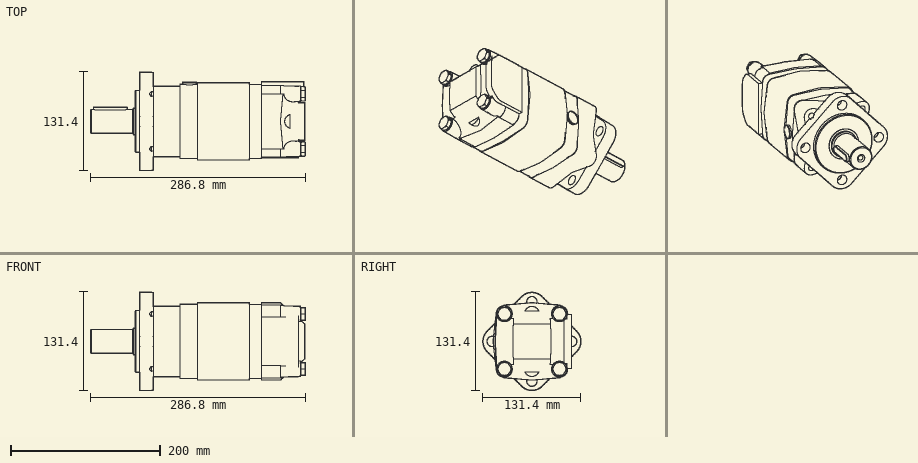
import cadquery as cq
import math

COLLAR_START = 56.2
PILOT_FACE = 59.7
FLANGE_FACE = 65.7
FLANGE_BACK = 84.0
NECK_END = 119.3
HOUSING_END = 142.5
GEAR_END = 212.0
PLATE_END = 228.0
SHOULDER_END = 253.5
SIDE_WALL_END = 277.5
BOSS_END = 280.2
COVER_END = 286.2
TOTAL_LENGTH = 286.8

BOLT_OFFSET = 36.7
SHANK_DIAMETER = 8.3
DRILL_TIP_LENGTH = 2.5
HEAD_FLATS = 17.0
HEAD_CHAMFER = 1.0
WASHER_FACE = 1.0
BOLT_CENTRES = [(sy * BOLT_OFFSET, sz * BOLT_OFFSET) for sy in (-1, 1) for sz in (-1, 1)]

SHAFT_DIAMETER = 32.0
SHAFT_CHAMFER = 1.1
COLLAR_DIAMETER = 35.8
COLLAR_TAPER = 1.5
CENTRE_MOUTH_DIAMETER = 10.5
CENTRE_DIAMETER = 6.5
CENTRE_DEPTH = 17.2
KEY_START = 4.0
KEY_LENGTH = 45.3
KEY_WIDTH = 10.0
KEY_BOTTOM = 11.8
KEY_TOP = 19.5
KEY_CHAMFER = 0.5

FLANGE_REACH = 65.7
FLANGE_CORNER_RADIUS = 19.5
FLANGE_HOLE_DIAMETER = 13.5
FLANGE_HOLE_OFFSET = 53.0
FLANGE_RIM_LENGTH = 3.0
FLANGE_RIM_DEPTH = 0.5
PILOT_DIAMETER = 83.0
PILOT_CHAMFER = 1.1
SEAL_DIAMETER = 42.5
SEAL_DEPTH = 1.0

CORNER_RADIUS = 21.0 / 2
GEAR_CORNER_RADIUS = 22.0 / 2
NECK_SLOPE = -10.0
NECK_RIDGE = 3.0
HOUSING_CORNER_RADIUS = 9.8
HOUSING_SLOPE = 4.9
GEAR_SLOPE = 6.5
PLATE_SLOPE = 3.8
RIDGE = 4.5

PORT_DIAMETER = 18.5
PORT_X = 132.2
PORT_FACE = 52.5
PORT_NECK_DIAMETER = 18.0
PORT_RIM_LENGTH = 1.1
PORT_BASE = 43.0

COVER_TOP = 51.5
COVER_TOP_EDGE = 48.8
COVER_SIDE = 48.8
COVER_SIDE_EDGE = 32.5
BEVEL_Y = 43.5
BEVEL_Z = 45.3
BOSS_RADIUS_FRONT = 22.0 / 2
BOSS_RADIUS_REAR = 10.3
COVER_SIDE_EDGE_Y = BOLT_OFFSET + math.sqrt(BOSS_RADIUS_FRONT**2 - (BOLT_OFFSET - COVER_SIDE_EDGE) ** 2)
CORNER_MID_ANGLE = 15.0
REAR_SLOPE = 41.0
HUB_HALF_WIDTH = 25.5
HUB_EDGE_HALF_WIDTH = 24.0
HUB_FLAT_HALF_HEIGHT = 9.5
VALVE_RADIUS = 10.0
VALVE_OFFSET = 36.7
VALVE_END = 266.2

PAD_FACE = 53.0
PAD_BASE = 43.0
PAD_HALF_HEIGHT = 36.0
PAD_STRAIGHT_END = 266.2
PAD_CORNER_RADIUS = 12.0
PAD_SLANT_END = 280.2
PAD_END = 284.8

X_AXIS = cq.Vector(1, 0, 0)


def plane_at(x):
    """Workplane at station x whose local axes are Y and Z and whose normal is +X."""
    return cq.Workplane("YZ", origin=(x, 0, 0))


def disc(x_start, x_end, diameter):
    return plane_at(x_start).circle(diameter / 2).extrude(x_end - x_start)


def bolt_holes(x_start, x_end):
    return plane_at(x_start).pushPoints(BOLT_CENTRES).circle(SHANK_DIAMETER / 2).extrude(x_end - x_start)


def turned(y, z, angle):
    """Point (y, z) turned by angle degrees about the motor axis."""
    a = math.radians(angle)
    return (y * math.cos(a) - z * math.sin(a), y * math.sin(a) + z * math.cos(a))


def square_section(x_start, x_end, radius, slope, ridge):
    """Square prism with round corners about the bolt axes.

    Each side slopes from the corners to its middle: outwards for a positive
    slope, inwards for a negative one. A non-zero ridge rounds the middle.
    """
    a = math.radians(slope)
    corner_y = BOLT_OFFSET + radius * math.sin(a)
    corner_z = BOLT_OFFSET + radius * math.cos(a)
    middle_z = corner_z + corner_y * math.tan(a)
    ridge_z = middle_z - ridge * math.tan(a)
    ridge_top = ridge_z + ridge * math.tan(a / 2)
    corner_mid = BOLT_OFFSET + radius / math.sqrt(2)

    outline = plane_at(x_start).moveTo(corner_y, corner_z)
    for angle in (0, 90, 180, 270):
        if ridge:
            outline = outline.lineTo(*turned(ridge, ridge_z, angle))
            outline = outline.threePointArc(turned(0, ridge_top, angle), turned(-ridge, ridge_z, angle))
        else:
            outline = outline.lineTo(*turned(0, middle_z, angle))
        outline = outline.lineTo(*turned(-corner_y, corner_z, angle))
        outline = outline.threePointArc(
            turned(-corner_mid, corner_mid, angle), turned(-corner_z, corner_y, angle)
        )
    return outline.close().extrude(x_end - x_start)


def make_shaft():
    radius = SHAFT_DIAMETER / 2
    collar_radius = COLLAR_DIAMETER / 2
    mouth = CENTRE_MOUTH_DIAMETER / 2
    drill = CENTRE_DIAMETER / 2
    profile = (
        cq.Workplane("XY")
        .moveTo(CENTRE_DEPTH + drill, 0)
        .lineTo(CENTRE_DEPTH, drill)
        .lineTo(mouth - drill, drill)
        .lineTo(0, mouth)
        .lineTo(0, radius - SHAFT_CHAMFER)
        .lineTo(SHAFT_CHAMFER, radius)
        .lineTo(COLLAR_START, radius)
        .lineTo(COLLAR_START + COLLAR_TAPER, collar_radius)
        .lineTo(FLANGE_BACK, collar_radius)
        .lineTo(FLANGE_BACK, 0)
        .close()
    )
    shaft = profile.revolve(360, (0, 0, 0), (1, 0, 0))
    return shaft.cut(key_blank())


def key_blank():
    """Round-ended key shape, standing on its seat in the +Y side of the shaft."""
    return (
        cq.Workplane("XZ", origin=(KEY_START + KEY_LENGTH / 2, KEY_TOP, 0))
        .slot2D(KEY_LENGTH, KEY_WIDTH)
        .extrude(KEY_TOP - KEY_BOTTOM)
    )


def make_key():
    return key_blank().faces(">Y").chamfer(KEY_CHAMFER)


def flange_plate():
    """Diamond plate: a turned square with a round corner on each of the Y and Z axes."""
    corner_centre = FLANGE_REACH - FLANGE_CORNER_RADIUS
    tangent = FLANGE_CORNER_RADIUS / math.sqrt(2)
    outline = plane_at(FLANGE_FACE).moveTo(tangent, corner_centre + tangent)
    for angle in (0, 90, 180, 270):
        outline = outline.threePointArc(
            turned(0, FLANGE_REACH, angle), turned(-tangent, corner_centre + tangent, angle)
        )
        outline = outline.lineTo(*turned(-corner_centre - tangent, tangent, angle))
    plate = outline.close().extrude(FLANGE_BACK - FLANGE_FACE)
    return plate.faces(">X").chamfer(FLANGE_RIM_LENGTH, FLANGE_RIM_DEPTH)


def blind_bolt_ends():
    """Ends of the bolt holes, with conical tips, in the rim of the flange back."""
    rim_start = FLANGE_BACK - FLANGE_RIM_LENGTH
    ends = bolt_holes(rim_start, FLANGE_BACK)
    for y, z in BOLT_CENTRES:
        tip = cq.Vector(rim_start - DRILL_TIP_LENGTH, y, z)
        cone = cq.Solid.makeCone(0, SHANK_DIAMETER / 2, DRILL_TIP_LENGTH, tip, X_AXIS)
        ends = ends.union(cq.Workplane(cone))
    return ends


def side_port():
    """Low round port on the +Y side, with a slightly wider rim."""
    face = cq.Workplane("XZ", origin=(PORT_X, PORT_FACE, 0))
    rim = face.circle(PORT_DIAMETER / 2).extrude(PORT_RIM_LENGTH)
    neck = face.circle(PORT_NECK_DIAMETER / 2).extrude(PORT_FACE - PORT_BASE)
    return rim.union(neck)


def make_housing():
    pilot = disc(PILOT_FACE, FLANGE_FACE, PILOT_DIAMETER).faces("<X").chamfer(PILOT_CHAMFER)
    neck = square_section(FLANGE_BACK, NECK_END, CORNER_RADIUS, NECK_SLOPE, NECK_RIDGE)
    rear = square_section(NECK_END, HOUSING_END, HOUSING_CORNER_RADIUS, HOUSING_SLOPE, 0)
    housing = flange_plate().union(pilot).union(neck).union(rear).union(side_port())

    offset = FLANGE_HOLE_OFFSET
    mounting_holes = (
        plane_at(FLANGE_FACE)
        .pushPoints([(offset, 0), (-offset, 0), (0, offset), (0, -offset)])
        .circle(FLANGE_HOLE_DIAMETER / 2)
        .extrude(FLANGE_BACK - FLANGE_FACE)
    )
    housing = housing.cut(mounting_holes)
    housing = housing.cut(disc(PILOT_FACE, PILOT_FACE + SEAL_DEPTH, SEAL_DIAMETER))
    housing = housing.cut(disc(PILOT_FACE, FLANGE_BACK, COLLAR_DIAMETER))
    housing = housing.cut(bolt_holes(FLANGE_BACK, HOUSING_END))
    return housing.cut(blind_bolt_ends())


def make_gear_ring():
    ring = square_section(HOUSING_END, GEAR_END, GEAR_CORNER_RADIUS, GEAR_SLOPE, RIDGE)
    return ring.cut(bolt_holes(HOUSING_END, GEAR_END))


def make_channel_plate():
    plate = square_section(GEAR_END, PLATE_END, CORNER_RADIUS, PLATE_SLOPE, RIDGE)
    return plate.cut(bolt_holes(GEAR_END, PLATE_END))


def mirrored_four_ways(quarter):
    """Copy a +Y +Z quarter of the cover to all four quarters."""
    half = quarter.union(quarter.mirror("XZ"))
    return half.union(half.mirror("XY"))


def cover_shoulder():
    """Front part of the cover, with bevelled round corners."""
    arc_mid_y = BOLT_OFFSET + BOSS_RADIUS_FRONT * math.cos(math.radians(CORNER_MID_ANGLE))
    arc_mid_z = BOLT_OFFSET + BOSS_RADIUS_FRONT * math.sin(math.radians(CORNER_MID_ANGLE))
    quarter = (
        plane_at(PLATE_END)
        .lineTo(0, COVER_TOP)
        .lineTo(BOLT_OFFSET, COVER_TOP_EDGE)
        .lineTo(BEVEL_Y, BEVEL_Z)
        .threePointArc((arc_mid_y, arc_mid_z), (COVER_SIDE_EDGE_Y, COVER_SIDE_EDGE))
        .lineTo(COVER_SIDE, 0)
        .close()
        .extrude(SHOULDER_END - PLATE_END)
    )
    return mirrored_four_ways(quarter)


def cover_side_walls():
    """Shallow V-shaped walls on both Y sides, reaching up to the bolt bosses."""
    side_slope = (COVER_SIDE - COVER_SIDE_EDGE_Y) / COVER_SIDE_EDGE
    quarter = (
        plane_at(PLATE_END)
        .moveTo(BOLT_OFFSET, 0)
        .lineTo(BOLT_OFFSET, BOLT_OFFSET)
        .lineTo(COVER_SIDE - side_slope * BOLT_OFFSET, BOLT_OFFSET)
        .lineTo(COVER_SIDE, 0)
        .close()
        .extrude(SIDE_WALL_END - PLATE_END)
    )
    return mirrored_four_ways(quarter)


def cover_core():
    """Middle of the cover between the bolt bosses, sloping down behind the shoulder."""
    top = (
        plane_at(PLATE_END)
        .lineTo(0, COVER_TOP)
        .lineTo(BOLT_OFFSET, COVER_TOP_EDGE)
        .lineTo(BOLT_OFFSET, 0)
        .close()
        .extrude(SIDE_WALL_END - PLATE_END)
    )
    hub = (
        plane_at(PLATE_END)
        .lineTo(0, BOLT_OFFSET)
        .lineTo(HUB_EDGE_HALF_WIDTH, BOLT_OFFSET)
        .lineTo(HUB_HALF_WIDTH, HUB_FLAT_HALF_HEIGHT)
        .lineTo(HUB_HALF_WIDTH, 0)
        .close()
        .extrude(COVER_END - PLATE_END)
    )
    drop = (COVER_END - SHOULDER_END) * math.tan(math.radians(REAR_SLOPE))
    envelope = (
        cq.Workplane("XZ")
        .moveTo(PLATE_END, 0)
        .lineTo(PLATE_END, COVER_TOP)
        .lineTo(SHOULDER_END, COVER_TOP)
        .lineTo(COVER_END, COVER_TOP - drop)
        .lineTo(COVER_END, 0)
        .close()
        .extrude(COVER_SIDE, both=True)
    )
    return mirrored_four_ways(top.union(hub).intersect(envelope))


def cover_pad():
    """Flat port pad on the +Y side with a rounded, slanted rear end."""
    bevel = 1 / math.sqrt(2)
    slant_start = PAD_STRAIGHT_END + PAD_CORNER_RADIUS * bevel
    slant_start_z = PAD_HALF_HEIGHT - PAD_CORNER_RADIUS * (1 - bevel)
    slant_end_z = slant_start_z - (PAD_SLANT_END - slant_start)
    end_radius = (PAD_END - PAD_SLANT_END) / (1 - bevel)
    end_z = slant_end_z - end_radius * bevel
    return (
        cq.Workplane("XZ", origin=(0, PAD_FACE, 0))
        .moveTo(PLATE_END, -PAD_HALF_HEIGHT)
        .lineTo(PLATE_END, PAD_HALF_HEIGHT)
        .lineTo(PAD_STRAIGHT_END, PAD_HALF_HEIGHT)
        .tangentArcPoint((slant_start, slant_start_z), relative=False)
        .lineTo(PAD_SLANT_END, slant_end_z)
        .tangentArcPoint((PAD_END, end_z), relative=False)
        .lineTo(PAD_END, -end_z)
        .tangentArcPoint((PAD_SLANT_END, -slant_end_z), relative=False)
        .lineTo(slant_start, -slant_start_z)
        .tangentArcPoint((PAD_STRAIGHT_END, -PAD_HALF_HEIGHT), relative=False)
        .close()
        .extrude(PAD_FACE - PAD_BASE)
    )


def make_cover():
    cover = cover_shoulder().union(cover_core()).union(cover_side_walls()).union(cover_pad())
    for y, z in BOLT_CENTRES:
        base = cq.Vector(SHOULDER_END, y, z)
        boss = cq.Solid.makeCone(BOSS_RADIUS_FRONT, BOSS_RADIUS_REAR, BOSS_END - SHOULDER_END, base, X_AXIS)
        cover = cover.union(cq.Workplane(boss))
    valves = (
        plane_at(PLATE_END)
        .pushPoints([(0, VALVE_OFFSET), (0, -VALVE_OFFSET)])
        .circle(VALVE_RADIUS)
        .extrude(VALVE_END - PLATE_END)
    )
    cover = cover.union(valves)
    return cover.cut(bolt_holes(PLATE_END, BOSS_END))


def make_bolt(y, z):
    """Hexagon bolt whose head corners point along Y."""
    head_corners = HEAD_FLATS / math.cos(math.radians(30))
    head_start = BOSS_END + WASHER_FACE
    head = plane_at(head_start).polygon(6, head_corners).extrude(TOTAL_LENGTH - head_start)
    washer = disc(BOSS_END, head_start, HEAD_FLATS)
    rounding = disc(head_start, TOTAL_LENGTH, head_corners).faces(">X").chamfer(HEAD_CHAMFER)
    shank = disc(FLANGE_BACK, BOSS_END, SHANK_DIAMETER)
    return head.intersect(rounding).union(washer).union(shank).translate((0, y, z))


shaft = make_shaft()
key = make_key()
housing = make_housing()
gear_ring = make_gear_ring()
channel_plate = make_channel_plate()
cover = make_cover()
bolts = [make_bolt(y, z) for y, z in BOLT_CENTRES]

result = cq.Compound.makeCompound(
    [
        shaft.val(),
        key.val(),
        housing.val(),
        gear_ring.val(),
        channel_plate.val(),
        cover.val(),
        *[bolt.val() for bolt in bolts],
    ]
)